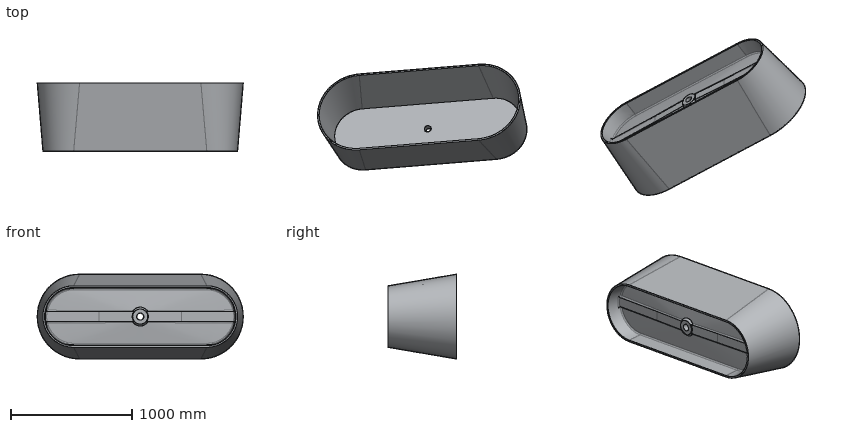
import cadquery as cq
import math

LENGTH = 1700.0
DEPTH = 565.0
WIDTH = 700.0
BASE_LENGTH = 1606.0
BASE_WIDTH = 508.0

RIM_WIDTH = 14.0
WALL_DRAFT = 9.0
RECESS_DEPTH = 140.0
FLOOR_FILLET = 10.0
FLOOR_ROOT = 5.0
SWELL_TOP_LENGTH = 62.0
SWELL_TOP_WIDTH = 60.0
FLOOR_RISE = 25.0

RIB_FACE_WIDTH = 80.0
RIB_FLANK_DRAFT = 4.0
RIB_BREAK_X = 342.0
RIB_END_HEIGHT = 20.0
RIB_BREAK_HEIGHT = 26.0
RIB_CENTRE_HEIGHT = 36.0

BOSS_FOOT_RADIUS = 96.0
BOSS_FACE_RADIUS = 62.0
BOSS_HEIGHT = 40.0
DRAIN_RADIUS = 28.0

SHELL_THICKNESS = 14.0

OPEN_Y = DEPTH / 2
BASE_Y = -DEPTH / 2
FLOOR_Y = BASE_Y + RECESS_DEPTH
RECESS_LENGTH = BASE_LENGTH - 2 * RIM_WIDTH
RECESS_WIDTH = BASE_WIDTH - 2 * RIM_WIDTH
FLOOR_LENGTH = RECESS_LENGTH - 2 * WALL_DRAFT
FLOOR_WIDTH = RECESS_WIDTH - 2 * WALL_DRAFT
RIB_FOOT_WIDTH = RIB_FACE_WIDTH + 2 * RIB_FLANK_DRAFT
ROOT_Y = FLOOR_Y + FLOOR_ROOT

SWELL_ARC_STEPS = 12
SWELL_SIDE_STEPS = 8


def plane_at(y):
    """Plane parallel to XZ whose normal points toward -Y."""
    return cq.Workplane("XZ", origin=(0, y, 0))


def racetrack(y, length, width):
    """Racetrack outline of the given overall size, centred on the Y axis."""
    return plane_at(y).slot2D(length, width).wire().val()


def racetrack_taper(y1, length1, width1, y2, length2, width2):
    """Solid with straight flanks between two racetrack outlines."""
    outlines = [racetrack(y1, length1, width1), racetrack(y2, length2, width2)]
    return cq.Workplane(cq.Solid.makeLoft(outlines, True))


def smooth_racetrack(y, length, width):
    """Racetrack drawn as one closed spline starting at its +X end, so that it lofts to one face."""
    radius = width / 2
    half_side = (length - width) / 2
    quarter = [math.pi / 2 * i / SWELL_ARC_STEPS for i in range(SWELL_ARC_STEPS + 1)]
    upper_right = [(half_side + radius * math.cos(a), radius * math.sin(a)) for a in quarter]
    side = [(half_side * (1 - 2 * i / SWELL_SIDE_STEPS), radius) for i in range(1, SWELL_SIDE_STEPS)]
    upper_left = [(-x, z) for x, z in reversed(upper_right)]
    upper = upper_right + side + upper_left
    lower = [(-x, -z) for x, z in upper[1:-1]]
    points = upper + lower
    return plane_at(y).spline(points, periodic=True).wire().val()


def make_body():
    """Tapered outer volume of the tub."""
    return racetrack_taper(OPEN_Y, LENGTH, WIDTH, BASE_Y, BASE_LENGTH, BASE_WIDTH)


def make_straight_recess():
    """Recess volume with drafted walls, before the floor and rib are shaped."""
    root_lean = WALL_DRAFT * (1 + FLOOR_ROOT / RECESS_DEPTH)
    return racetrack_taper(
        ROOT_Y, RECESS_LENGTH - 2 * root_lean, RECESS_WIDTH - 2 * root_lean,
        BASE_Y, RECESS_LENGTH, RECESS_WIDTH,
    )


def make_floor_swell():
    """Shallow swelling of the floor from the recess wall up to the drain boss."""
    root_scale = 1 + FLOOR_ROOT / FLOOR_RISE
    root_length = SWELL_TOP_LENGTH + root_scale * (FLOOR_LENGTH - SWELL_TOP_LENGTH)
    root_width = SWELL_TOP_WIDTH + root_scale * (FLOOR_WIDTH - SWELL_TOP_WIDTH)
    outlines = [
        smooth_racetrack(ROOT_Y, root_length, root_width),
        smooth_racetrack(FLOOR_Y - FLOOR_RISE, SWELL_TOP_LENGTH, SWELL_TOP_WIDTH),
    ]
    return cq.Workplane(cq.Solid.makeLoft(outlines, True))


def make_rib():
    """Drafted rib bounded by its lengthwise profile and its cross-section."""
    half_length = RECESS_LENGTH / 2
    profile = [
        (-half_length, ROOT_Y),
        (-half_length, FLOOR_Y - RIB_END_HEIGHT),
        (-RIB_BREAK_X, FLOOR_Y - RIB_BREAK_HEIGHT),
        (0, FLOOR_Y - RIB_CENTRE_HEIGHT),
        (RIB_BREAK_X, FLOOR_Y - RIB_BREAK_HEIGHT),
        (half_length, FLOOR_Y - RIB_END_HEIGHT),
        (half_length, ROOT_Y),
    ]
    lengthwise = cq.Workplane("XY").polyline(profile).close().extrude(RIB_FOOT_WIDTH / 2, both=True)
    top_y = FLOOR_Y - RIB_CENTRE_HEIGHT
    section = [
        (ROOT_Y, -RIB_FOOT_WIDTH / 2),
        (top_y, -RIB_FACE_WIDTH / 2),
        (top_y, RIB_FACE_WIDTH / 2),
        (ROOT_Y, RIB_FOOT_WIDTH / 2),
    ]
    drafted = cq.Workplane("YZ").polyline(section).close().extrude(half_length, both=True)
    return lengthwise.intersect(drafted)


def make_boss():
    """Conical boss around the drain; its foot is buried in the floor and the rib."""
    foot = plane_at(ROOT_Y).circle(BOSS_FOOT_RADIUS)
    return foot.workplane(offset=BOSS_HEIGHT + FLOOR_ROOT).circle(BOSS_FACE_RADIUS).loft(ruled=True)


def make_recess():
    """Underside recess, with the floor rounded into its wall and the rib rounded into both."""
    recess = make_straight_recess().cut(make_floor_swell()).cut(make_rib())
    floor_edges = recess.faces("%BSPLINE").edges().vals()
    rib_end_edges = []
    for end in (-1, 1):
        corner = (end * (FLOOR_LENGTH / 2 - FLOOR_FILLET), FLOOR_Y - RIB_BREAK_HEIGHT, -RIB_FOOT_WIDTH / 2)
        opposite = (end * LENGTH / 2, FLOOR_Y - FLOOR_FILLET / 2, RIB_FOOT_WIDTH / 2)
        rib_end_edges += recess.edges(cq.selectors.BoxSelector(corner, opposite)).vals()
    return recess.newObject(floor_edges + rib_end_edges).fillet(FLOOR_FILLET).cut(make_boss())


def make_basin():
    """Basin on the open side; its bottom follows the swelling of the floor below it."""
    basin = racetrack_taper(
        OPEN_Y, LENGTH - 2 * SHELL_THICKNESS, WIDTH - 2 * SHELL_THICKNESS,
        ROOT_Y + SHELL_THICKNESS, FLOOR_LENGTH, FLOOR_WIDTH,
    )
    return basin.cut(make_floor_swell().translate((0, SHELL_THICKNESS, 0)))


def make_drain():
    """Drain bore between the basin and the face of the boss."""
    return plane_at(OPEN_Y).circle(DRAIN_RADIUS).extrude(DEPTH)


result = make_body().cut(make_recess()).cut(make_basin()).cut(make_drain())